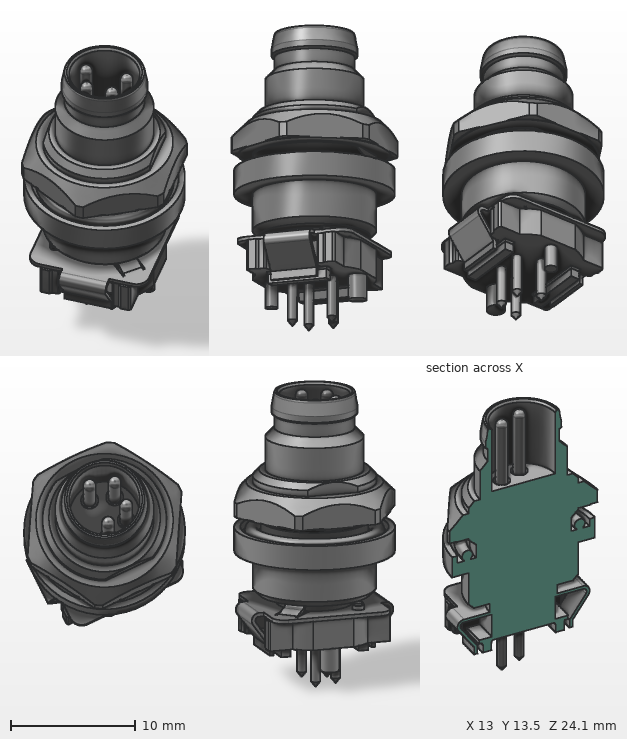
import cadquery as cq
import math


carrier_top = 6.62
body_bottom = 7.4
flange_bottom = 10.9
flange_top = 12.87
seal_top = 13.11
thread_bottom = 13.43
nut_bottom = 14.15
nut_top = 16.62
thread_top = 17.65
sleeve_top = 20.38
neck_bottom = 21.13
neck_top = 22.22
total_height = 24.15

carrier_neck_radius = 3.1
body_radius = 5.0
body_chamfer = 0.48
flange_radius = 6.5
relief_radius = 4.35
thread_radius = body_radius
thread_chamfer_radius = 4.5
thread_chamfer_height = 0.53
thread_run_out = 0.6
thread_flat_distance = 4.52
sleeve_radius = 3.98
neck_radius = 3.25
lip_radius = 3.48
lip_height = 0.53
lip_undercut = 0.17
rim_radius = 3.2
rim_round_radius = 3.28
rim_round = 0.17

seal_tube_radius = 0.5
seal_ring_radius = 5.12
groove_outer_radius = 6.0
groove_floor = 12.2

nut_across_flats = 12.0
nut_corner_diameter = 13.5
nut_corner_radius = nut_corner_diameter / 2
nut_chamfer_radius = 5.53
nut_washer_radius = 6.13
nut_washer_height = 0.06

socket_radius = 2.85
socket_mouth_chamfer = 0.2
socket_floor = 18.11
contact_radius = 0.5
contact_top = 23.88
contact_dome = 0.45
contact_embedment = 0.39
countersink_radius = 0.7
countersink_depth = 0.2
solder_pin_radius = 0.39
solder_pin_point = 0.48
contact_places = [(-1.71, 0.5), (1.71, 0.5), (-1.06, -1.42), (1.06, -1.42)]

plate_side = 10.0
plate_thickness = 0.31
plate_corner_radius = 1.05
clip_half_width = 1.98
clip_bend_y = 5.4
clip_bend_radius = 0.63
clip_slope = math.radians(54)
clip_foot_y = 4.5
clip_foot_bottom = 2.97
clip_root_overlap = 0.25

block_bottom = 3.85
block_half_length = 5.22
block_side_x = 3.85
block_bulge_half_width = 1.71
block_corner_x_cut = 0.2
block_corner_y_cut = 0.12

pocket_mouth_half_width = 3.02
pocket_half_width = 2.8
pocket_depth = 0.17
slot_mouth_half_width = 2.37
slot_lip_half_width = 2.22
slot_half_width = 2.08
slot_lip_depth = 0.15
slot_taper_depth = 0.58
slot_back_y = 2.9
ledge_front_y = 4.05
ledge_top = 4.23

foot_length = 5.07
foot_width = 0.8
foot_y = 3.3
foot_bottom = 2.9
foot_flare = 0.1
foot_flare_height = 0.2
post_bottom = 1.8
posts = [(-3.75, 0.75), (3.72, 0.5)]

peg_x = 3.3
peg_y = 2.58
peg_radius = 0.48
peg_height = 0.35
peg_cap_radius = 0.39
peg_cap_height = 0.17
tongue_width = 1.7
tongue_root = 3.35
tongue_reach = 4.9
tongue_thickness = 0.3
tongue_bend_radius = 0.35
tongue_low_z = 6.93
tongue_angles = (-45, 135)
slit_width = 0.15
slit_inner_end = 3.15
slit_outer_end = 5.17

overlap = 0.05


def cylinder(x, y, radius, bottom, top):
    return cq.Workplane("XY", origin=(x, y, bottom)).circle(radius).extrude(top - bottom)


def turned(points):
    """Solid of revolution about Z from (radius, z) points."""
    return cq.Workplane("XZ").polyline(points).close().revolve(360, (0, 0, 0), (0, 1, 0))


def make_lower_body():
    """Neck, body and flange, with a sealing ring in the flange groove."""
    points = [
        (0, carrier_top - overlap),
        (carrier_neck_radius, carrier_top - overlap),
        (carrier_neck_radius, body_bottom),
        (body_radius - body_chamfer, body_bottom),
        (body_radius, body_bottom + body_chamfer),
        (body_radius, flange_bottom),
        (flange_radius, flange_bottom),
        (flange_radius, flange_top),
        (groove_outer_radius, flange_top),
        (groove_outer_radius, groove_floor),
        (relief_radius, groove_floor),
        (relief_radius, thread_bottom + overlap),
        (0, thread_bottom + overlap),
    ]
    seal_z = seal_top - seal_tube_radius
    seal = (
        cq.Workplane("XZ")
        .center(seal_ring_radius, seal_z)
        .circle(seal_tube_radius)
        .revolve(360, (-seal_ring_radius, 0, 0), (-seal_ring_radius, 1, 0))
    )
    return turned(points).union(seal)


def make_thread():
    """Threaded length with a flat on each X side."""
    blank = turned([
        (0, thread_bottom),
        (relief_radius, thread_bottom),
        (thread_radius, thread_bottom + thread_run_out),
        (thread_radius, thread_top - thread_chamfer_height),
        (thread_chamfer_radius, thread_top),
        (0, thread_top),
    ])
    flats = (
        cq.Workplane("XY", origin=(0, 0, thread_bottom))
        .rect(2 * thread_flat_distance, 2 * thread_radius)
        .extrude(thread_top - thread_bottom)
    )
    return blank.intersect(flats)


def make_nut():
    """Hexagon nut, chamfered on top, with a washer face below."""
    across_corners = nut_across_flats / math.cos(math.pi / 6)
    hexagon = (
        cq.Workplane("XY", origin=(0, 0, nut_bottom))
        .transformed(rotate=(0, 0, 90))
        .polygon(6, across_corners)
        .extrude(nut_top - nut_bottom)
    )
    envelope = turned([
        (0, nut_bottom),
        (nut_washer_radius, nut_bottom),
        (nut_washer_radius, nut_bottom + nut_washer_height),
        (nut_corner_radius, nut_bottom + nut_washer_height),
        (nut_corner_radius, nut_top - (nut_corner_radius - nut_chamfer_radius)),
        (nut_chamfer_radius, nut_top),
        (0, nut_top),
    ])
    return hexagon.intersect(envelope)


def make_sleeve():
    """Plug end with a snap lip and an open socket."""
    lip_bottom = neck_top + lip_undercut
    outside = turned([
        (0, thread_top - overlap),
        (sleeve_radius, thread_top - overlap),
        (sleeve_radius, sleeve_top),
        (neck_radius, neck_bottom),
        (neck_radius, neck_top),
        (lip_radius, lip_bottom),
        (lip_radius, lip_bottom + lip_height),
        (rim_round_radius, total_height - rim_round),
        (rim_radius, total_height),
        (0, total_height),
    ])
    socket = turned([
        (0, socket_floor),
        (socket_radius, socket_floor),
        (socket_radius, total_height - socket_mouth_chamfer),
        (socket_radius + socket_mouth_chamfer, total_height),
        (0, total_height),
    ])
    return outside.cut(socket)


def make_countersink(x, y):
    """Cone to remove from the socket floor around a contact."""
    points = [
        (0, socket_floor - countersink_depth),
        (contact_radius, socket_floor - countersink_depth),
        (countersink_radius, socket_floor),
        (0, socket_floor),
    ]
    return turned(points).translate((x, y, 0))


def make_contact(x, y):
    """Round-nosed socket contact and the pointed solder pin in line with it."""
    nose = cylinder(x, y, contact_radius, socket_floor - contact_embedment, contact_top)
    nose = nose.faces(">Z").edges().fillet(contact_dome)
    pin = turned([
        (0, 0),
        (solder_pin_radius, solder_pin_point),
        (solder_pin_radius, carrier_top),
        (0, carrier_top),
    ])
    return nose, pin.translate((x, y, 0))


def make_plate():
    """Rounded square plate with a slit along each side of both tongues."""
    plate = (
        cq.Workplane("XY", origin=(0, 0, carrier_top - plate_thickness))
        .rect(plate_side, plate_side)
        .extrude(plate_thickness)
        .edges("|Z")
        .fillet(plate_corner_radius)
    )
    slit_offset = (tongue_width + slit_width) / 2
    slits = (
        cq.Workplane("XY", origin=(0, 0, carrier_top - plate_thickness))
        .pushPoints([((slit_inner_end + slit_outer_end) / 2, side * slit_offset) for side in (-1, 1)])
        .rect(slit_outer_end - slit_inner_end, slit_width)
        .extrude(plate_thickness)
    )
    for angle in tongue_angles:
        plate = plate.cut(slits.rotate((0, 0, 0), (0, 0, 1), angle))
    return plate


def make_clip():
    """Spring on the +Y side: tongue, rolled bend, inward slope and upright foot."""
    bend_z = carrier_top - clip_bend_radius
    inner_radius = clip_bend_radius - plate_thickness
    slope_end_angle = clip_slope - math.pi / 2
    mid_angle = (slope_end_angle + math.pi / 2) / 2
    foot_inner_y = clip_foot_y - plate_thickness

    def bend_point(radius, angle):
        return (clip_bend_y + radius * math.cos(angle), bend_z + radius * math.sin(angle))

    def slope_z(radius, y):
        start_y, start_z = bend_point(radius, slope_end_angle)
        return start_z - (start_y - y) * math.tan(clip_slope)

    root_y = plate_side / 2 - clip_root_overlap
    return (
        cq.Workplane("YZ", origin=(-clip_half_width, 0, 0))
        .moveTo(root_y, carrier_top)
        .lineTo(clip_bend_y, carrier_top)
        .threePointArc(bend_point(clip_bend_radius, mid_angle), bend_point(clip_bend_radius, slope_end_angle))
        .lineTo(clip_foot_y, slope_z(clip_bend_radius, clip_foot_y))
        .lineTo(clip_foot_y, clip_foot_bottom)
        .lineTo(foot_inner_y, clip_foot_bottom)
        .lineTo(foot_inner_y, slope_z(inner_radius, foot_inner_y))
        .lineTo(*bend_point(inner_radius, slope_end_angle))
        .threePointArc(bend_point(inner_radius, mid_angle), bend_point(inner_radius, math.pi / 2))
        .lineTo(root_y, carrier_top - plate_thickness)
        .close()
        .extrude(2 * clip_half_width)
    )


def make_block_quarter():
    """Quarter of the block, in the +X +Y corner; its side bulges out to the body radius."""
    arc_start_angle = math.asin(block_bulge_half_width / body_radius)
    arc_end_angle = math.acos(block_side_x / body_radius)

    def arc_point(angle):
        return (body_radius * math.cos(angle), body_radius * math.sin(angle))

    arc_start = arc_point(arc_start_angle)
    arc_middle = arc_point((arc_start_angle + arc_end_angle) / 2)
    pocket_y = block_half_length - pocket_depth
    top = carrier_top - plate_thickness
    return (
        cq.Workplane("XY", origin=(0, 0, block_bottom))
        .lineTo(arc_start[0], 0)
        .lineTo(*arc_start)
        .threePointArc(arc_middle, arc_point(arc_end_angle))
        .lineTo(block_side_x, block_half_length - block_corner_y_cut)
        .lineTo(block_side_x - block_corner_x_cut, block_half_length)
        .lineTo(pocket_mouth_half_width, block_half_length)
        .lineTo(pocket_half_width, pocket_y)
        .lineTo(slot_mouth_half_width, pocket_y)
        .lineTo(slot_lip_half_width, pocket_y - slot_lip_depth)
        .lineTo(slot_half_width, pocket_y - slot_taper_depth)
        .lineTo(slot_half_width, slot_back_y)
        .lineTo(0, slot_back_y)
        .close()
        .extrude(top - block_bottom)
    )


def make_block():
    """Whole block, with a low ledge across the back of each clip slot."""
    ledge = (
        cq.Workplane("XY", origin=(0, 0, block_bottom))
        .moveTo(0, slot_back_y)
        .rect(slot_half_width, ledge_front_y - slot_back_y, centered=False)
        .extrude(ledge_top - block_bottom)
    )
    half = make_block_quarter().union(ledge)
    half = half.union(half.mirror("YZ"))
    return half.union(half.mirror("XZ"))


def make_foot(y):
    """Board support bar along X, flared where it meets the block."""
    foot = (
        cq.Workplane("XY", origin=(0, y, foot_bottom))
        .rect(foot_length, foot_width)
        .extrude(block_bottom - foot_bottom)
    )
    flare_taper = math.degrees(math.atan(foot_flare / foot_flare_height))
    flare = (
        cq.Workplane("XY", origin=(0, y, block_bottom))
        .rect(foot_length + 2 * foot_flare, foot_width + 2 * foot_flare)
        .extrude(-foot_flare_height, taper=flare_taper)
    )
    return foot.union(flare)


def make_peg(x, y):
    """Stepped rivet peg standing on the plate."""
    shoulder = carrier_top + peg_height
    peg = cylinder(x, y, peg_radius, carrier_top - overlap, shoulder)
    return peg.union(cylinder(x, y, peg_cap_radius, shoulder, shoulder + peg_cap_height))


def make_tongue(angle):
    """Bent strip that hangs from the body, turns outwards and slopes down to the plate."""
    bend_start_x = tongue_root + tongue_thickness
    bend_end_x = bend_start_x + tongue_bend_radius
    bend_top = tongue_low_z + tongue_bend_radius
    strip = (
        cq.Workplane("XZ", origin=(0, tongue_width / 2, 0))
        .moveTo(tongue_root, body_bottom + overlap)
        .lineTo(bend_start_x, body_bottom + overlap)
        .lineTo(bend_start_x, bend_top)
        .radiusArc((bend_end_x, tongue_low_z), -tongue_bend_radius)
        .lineTo(tongue_reach, carrier_top)
        .lineTo(tongue_reach, carrier_top - overlap)
        .lineTo(tongue_reach - 2 * tongue_thickness, carrier_top - overlap)
        .lineTo(bend_end_x, tongue_low_z - tongue_thickness)
        .radiusArc((tongue_root, bend_top), tongue_bend_radius + tongue_thickness)
        .close()
        .extrude(tongue_width)
    )
    return strip.rotate((0, 0, 0), (0, 0, 1), angle)


result = make_lower_body().union(make_thread()).union(make_nut()).union(make_sleeve())

for contact_x, contact_y in contact_places:
    contact_nose, solder_pin = make_contact(contact_x, contact_y)
    result = result.cut(make_countersink(contact_x, contact_y)).union(contact_nose).union(solder_pin)

result = result.union(make_plate()).union(make_block())
clip = make_clip()
for spring in (clip, clip.mirror("XZ")):
    result = result.union(spring)

for side in (-1, 1):
    result = result.union(make_foot(side * foot_y))
    result = result.union(make_peg(side * peg_x, side * peg_y))

for tongue_angle in tongue_angles:
    result = result.union(make_tongue(tongue_angle))

for post_x, post_radius in posts:
    result = result.union(cylinder(post_x, 0, post_radius, post_bottom, block_bottom + overlap))